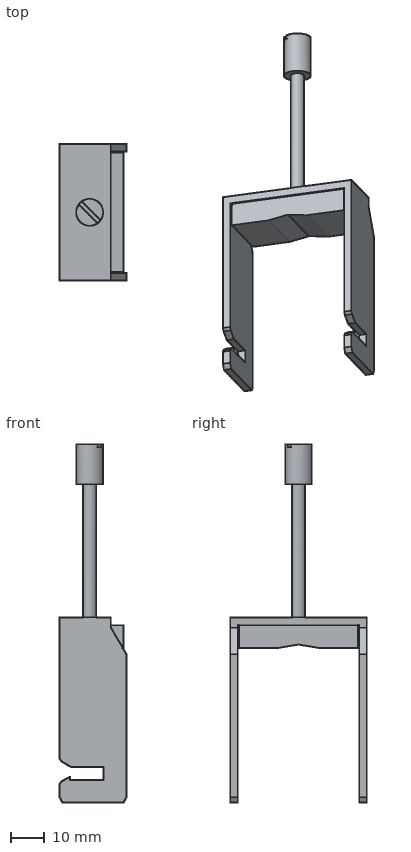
import cadquery as cq

BRACKET_DEPTH = 20.0
BRACKET_WIDTH = 40.6
BRACKET_HEIGHT = 55.0
WALL = 2.3
CAP_DEPTH = 15.3
SHOULDER_TOP = 52.0
SHOULDER_BOTTOM = 44.0

FOOT_CHAMFER_X = 0.9
FOOT_CHAMFER_Z = 1.6
SLOT_BOTTOM = 6.7
SLOT_TOP = 10.5
SLOT_END = 13.1
LIP_LENGTH = 3.2
LIP_TOP = 7.7
LIP_BEVEL_X = 0.7
LIP_BEVEL_TOP = 6.35
LIP_BEVEL_BOTTOM = 5.45
MOUTH_LENGTH = 3.5
MOUTH_BEVEL_X = 0.6
MOUTH_BEVEL_TOP = 13.1
MOUTH_BEVEL_BOTTOM = 12.2

BLOCK_FRONT = 0.7
BLOCK_BACK = 19.1
BLOCK_SIDE_GAP = 0.3
BLOCK_HEIGHT = 6.8
NOTCH_WIDTH = 12.0
NOTCH_HEIGHT = 1.0

SCREW_X = 9.0
SHANK_DIAMETER = 4.0
SHANK_LENGTH = 39.5
HEAD_DIAMETER = 8.0
HEAD_HEIGHT = 12.0
DRIVE_SLOT_WIDTH = 1.25
DRIVE_SLOT_DEPTH = 1.0
DRIVE_SLOT_ANGLE = -45.0

CAP_UNDERSIDE = BRACKET_HEIGHT - WALL


def leg(y_face):
    """Hooked side plate whose +Y face lies at y_face."""
    outline = [
        (FOOT_CHAMFER_X, 0),
        (BRACKET_DEPTH - FOOT_CHAMFER_X, 0),
        (BRACKET_DEPTH, FOOT_CHAMFER_Z),
        (BRACKET_DEPTH, SHOULDER_BOTTOM),
        (CAP_DEPTH, SHOULDER_TOP),
        (CAP_DEPTH, BRACKET_HEIGHT),
        (0, BRACKET_HEIGHT),
        (0, MOUTH_BEVEL_TOP),
        (MOUTH_BEVEL_X, MOUTH_BEVEL_BOTTOM),
        (MOUTH_LENGTH, SLOT_TOP),
        (SLOT_END, SLOT_TOP),
        (SLOT_END, SLOT_BOTTOM),
        (LIP_LENGTH, SLOT_BOTTOM),
        (LIP_LENGTH, LIP_TOP),
        (LIP_BEVEL_X, LIP_BEVEL_TOP),
        (0, LIP_BEVEL_BOTTOM),
        (0, FOOT_CHAMFER_Z),
    ]
    return cq.Workplane("XZ", origin=(0, y_face, 0)).polyline(outline).close().extrude(WALL)


def cap():
    """Plate joining the tops of the two legs."""
    return cq.Workplane("XY", origin=(0, 0, CAP_UNDERSIDE)).box(
        CAP_DEPTH, BRACKET_WIDTH, WALL, centered=(False, True, False)
    )


def block():
    """Block under the cap, with a shallow peaked relief across its underside."""
    half_width = BRACKET_WIDTH / 2 - WALL - BLOCK_SIDE_GAP
    bottom = CAP_UNDERSIDE - BLOCK_HEIGHT
    outline = [
        (-half_width, CAP_UNDERSIDE),
        (-half_width, bottom),
        (-NOTCH_WIDTH / 2, bottom),
        (0, bottom + NOTCH_HEIGHT),
        (NOTCH_WIDTH / 2, bottom),
        (half_width, bottom),
        (half_width, CAP_UNDERSIDE),
    ]
    face = cq.Workplane("YZ", origin=(BLOCK_FRONT, 0, 0)).polyline(outline).close()
    return face.extrude(BLOCK_BACK - BLOCK_FRONT)


def screw():
    """Plain shank with a slotted cylindrical head."""
    shank = cq.Workplane("XY").circle(SHANK_DIAMETER / 2).extrude(SHANK_LENGTH)
    head = cq.Workplane("XY", origin=(0, 0, SHANK_LENGTH)).circle(HEAD_DIAMETER / 2).extrude(HEAD_HEIGHT)
    slot_floor = SHANK_LENGTH + HEAD_HEIGHT - DRIVE_SLOT_DEPTH
    drive_slot = (
        cq.Workplane("XY", origin=(0, 0, slot_floor))
        .transformed(rotate=(0, 0, DRIVE_SLOT_ANGLE))
        .rect(2 * HEAD_DIAMETER, DRIVE_SLOT_WIDTH)
        .extrude(2 * DRIVE_SLOT_DEPTH)
    )
    return shank.union(head).cut(drive_slot).translate((SCREW_X, 0, BRACKET_HEIGHT))


bracket = cap()
for leg_face in (BRACKET_WIDTH / 2, WALL - BRACKET_WIDTH / 2):
    bracket = bracket.union(leg(leg_face))

result = bracket.union(block()).union(screw())